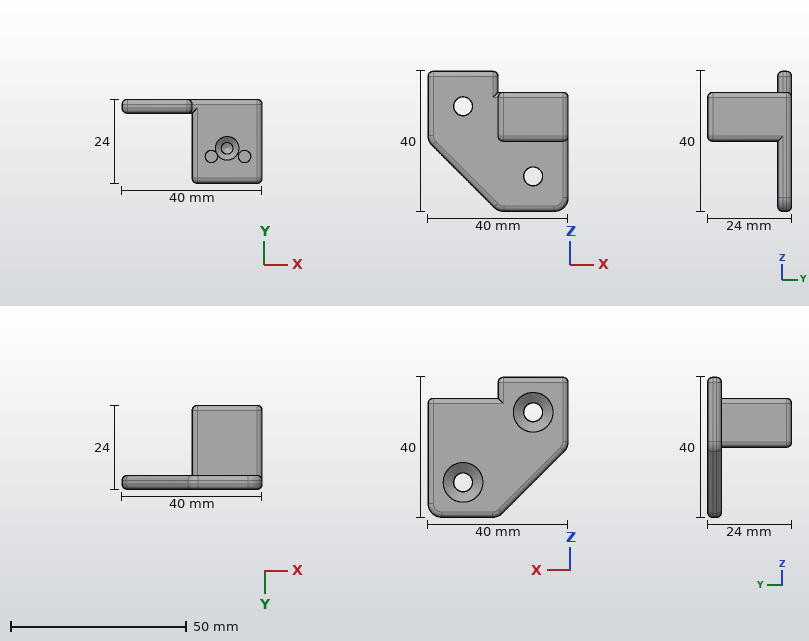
import cadquery as cq
import math

width = 40.0
height = 40.0
plate_thickness = 4.0
block_width = width / 2
block_depth = 24.0
block_top = 34.0
block_bottom = 20.0
corner_cut = 20.0
corner_radius = 4.0
edge_flat = 1.0
edge_radius = (plate_thickness - edge_flat) / 2
mount_hole_diameter = 5.3
mount_hole_land = 1.0
mount_hole_centers = [(width / 4, 3 * height / 4), (3 * width / 4, height / 4)]

block_left = width - block_width
block_center_x = block_left + block_width / 2

screw_y = -14.0
screw_diameter = 3.3
countersink_diameter = 6.7
screw_depth = 8.0
drill_point_angle = 118.0
pin_diameter = 3.5
pin_shift_x = 0.25
pin_center_x = block_center_x + pin_shift_x
pin_spacing = 9.5
pin_y = -16.3
pin_depth = 4.0


def make_plate():
    """Upright plate with a 45-degree corner cut and a lowered shoulder behind the block."""
    plate = (
        cq.Workplane("XZ")
        .moveTo(0, corner_cut)
        .lineTo(0, height)
        .lineTo(block_left, height)
        .lineTo(block_left, block_top)
        .lineTo(width, block_top)
        .lineTo(width, 0)
        .lineTo(corner_cut, 0)
        .close()
        .extrude(plate_thickness)
    )
    lower_corners = cq.selectors.BoxSelector((-0.4, -plate_thickness, -0.4), (width + 0.4, 0, corner_cut + 0.4))
    plate = plate.edges("|Y").edges(lower_corners).fillet(corner_radius)
    notch_corner = cq.selectors.NearestToPointSelector((block_left, -plate_thickness / 2, block_top))
    return plate.edges(cq.selectors.InverseSelector(notch_corner)).fillet(edge_radius)


def make_block():
    """Rounded block standing out from the plate, flush with the plate's back face."""
    block_height = block_top - block_bottom
    return (
        cq.Workplane("XY", origin=(block_left, -block_depth, block_bottom))
        .box(block_width, block_depth, block_height, centered=False)
        .edges()
        .fillet(edge_radius)
    )


def mount_hole_cutter(x, z):
    """Straight hole through the plate, countersunk from its back face."""
    cone_depth = plate_thickness - mount_hole_land
    hole_radius = mount_hole_diameter / 2
    profile = (
        cq.Workplane("XY")
        .lineTo(hole_radius + cone_depth, 0)
        .lineTo(hole_radius, -cone_depth)
        .lineTo(hole_radius, -plate_thickness)
        .lineTo(0, -plate_thickness)
        .close()
    )
    return profile.revolve(360, (0, 0, 0), (0, 1, 0)).translate((x, 0, z))


def screw_hole_cutter():
    """Blind screw hole with a 90-degree countersink and a conical drill point."""
    radius = screw_diameter / 2
    sink_radius = countersink_diameter / 2
    tip_length = radius / math.tan(math.radians(drill_point_angle / 2))
    profile = (
        cq.Workplane("XZ")
        .lineTo(sink_radius, 0)
        .lineTo(radius, radius - sink_radius)
        .lineTo(radius, -screw_depth)
        .lineTo(0, -screw_depth - tip_length)
        .close()
    )
    return profile.revolve(360, (0, 0, 0), (0, 1, 0)).translate((block_center_x, screw_y, block_top))


def pin_hole_cutters():
    """Pair of blind flat-bottomed holes, one on each side of the screw hole and slightly off-centre."""
    return (
        cq.Workplane("XY", origin=(pin_center_x, pin_y, block_top))
        .pushPoints([(-pin_spacing / 2, 0), (pin_spacing / 2, 0)])
        .circle(pin_diameter / 2)
        .extrude(-pin_depth)
    )


result = make_plate().union(make_block())
for hole_x, hole_z in mount_hole_centers:
    result = result.cut(mount_hole_cutter(hole_x, hole_z))
result = result.cut(screw_hole_cutter()).cut(pin_hole_cutters())